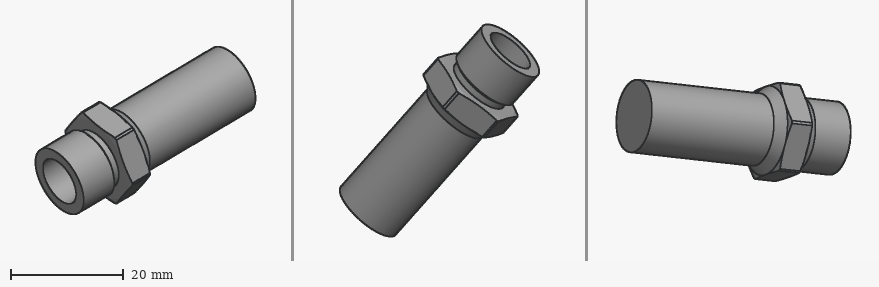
import cadquery as cq
import math

total_length = 40.5
spigot_length = 7.2
groove_start = 7.75
hex_front = 9.0
hex_back = 13.7
cone_back = 15.65
bore_depth = hex_back

bore_diameter = 9.0
groove_diameter = 11.45
tube_diameter = 13.0
spigot_diameter = 13.15

across_flats = 16.0
corner_diameter = 18.2
corner_chamfer_length = 0.3


def revolve_about_y(profile):
    """Solid of revolution from (radius, y) points, closed along the axis."""
    axis_start = (0, profile[0][1])
    axis_end = (0, profile[-1][1])
    outline = [axis_start, *profile, axis_end]
    return cq.Workplane("XY").polyline(outline).close().revolve(360, (0, 0), (0, 1))


def make_body():
    """Spigot, relief groove, conical shoulder and plain tube."""
    spigot_radius = spigot_diameter / 2
    groove_radius = groove_diameter / 2
    cone_radius = across_flats / 2
    tube_radius = tube_diameter / 2
    return revolve_about_y([
        (spigot_radius, 0),
        (spigot_radius, spigot_length),
        (groove_radius, groove_start),
        (groove_radius, hex_front),
        (cone_radius, hex_front),
        (cone_radius, hex_back),
        (tube_radius, cone_back),
        (tube_radius, total_length),
    ])


def make_hex_collar():
    """Hexagon with corners along X, trimmed and chamfered by a turned envelope."""
    sharp_corner_diameter = across_flats / math.cos(math.radians(30))
    hexagon = (
        cq.Workplane("XZ", origin=(0, hex_front, 0))
        .polygon(6, sharp_corner_diameter)
        .extrude(hex_front - hex_back)
    )
    face_radius = across_flats / 2
    corner_radius = corner_diameter / 2
    envelope = revolve_about_y([
        (face_radius, hex_front),
        (corner_radius, hex_front + corner_chamfer_length),
        (corner_radius, hex_back - corner_chamfer_length),
        (face_radius, hex_back),
    ])
    return hexagon.intersect(envelope)


def make_bore():
    """Blind, flat-bottomed bore from the front end."""
    bore_radius = bore_diameter / 2
    return revolve_about_y([(bore_radius, 0), (bore_radius, bore_depth)])


result = make_body().union(make_hex_collar()).cut(make_bore())